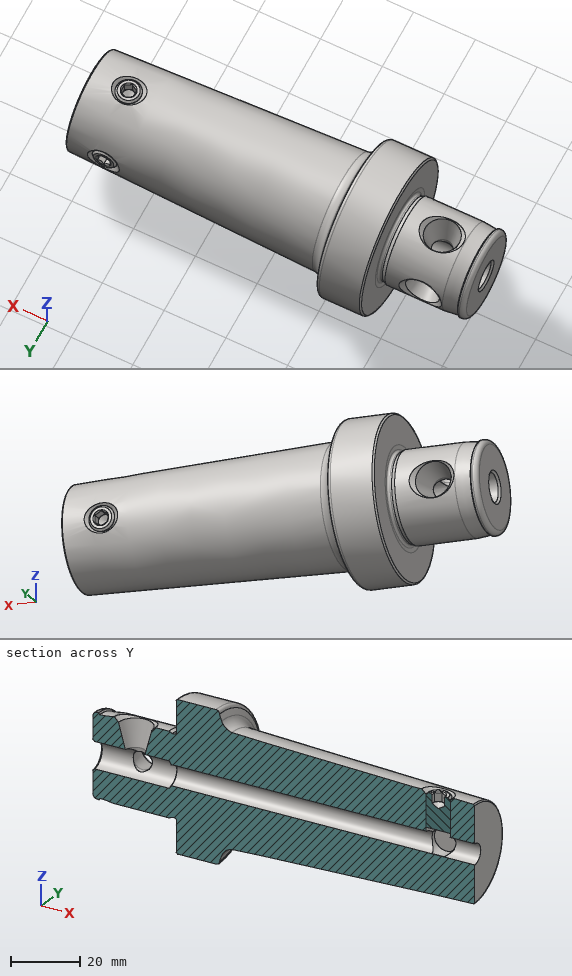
import cadquery as cq
import math

total_length = 128.0

spigot_radius = 14.1
lip_round = 1.5
lip_end = 2.0
groove_radius = 13.6
groove_start = 2.4
groove_end = 7.0
spigot_end = 25.6
neck_radius = 13.6
neck_start = 26.8
neck_fillet = 0.8

flange_face = 27.9
flange_diameter = 50.0
flange_radius = flange_diameter / 2
flange_edge_chamfer = 0.5
face_recess_radius = 15.7
face_recess_depth = 0.1
flange_round_start = 41.3
flange_round_end = 42.5
flange_round_end_radius = 23.8
flange_back_end = 43.3
flange_back_end_radius = 21.8

shank_start = 46.7
shank_start_radius = 19.0
shank_end_radius = 16.1
shank_end_chamfer = 0.4

bore_radius = 4.4
bore_mouth_radius = 5.0
bore_depth = 25.6
drill_point_angle = 118.0
through_radius = 3.3

lock_hole_x = 14.2
lock_hole_mouth_radius = 6.9
lock_hole_rim_radius = 5.5
lock_hole_rim_height = 12.7
lock_hole_floor_radius = 3.2

screw_x = 115.7
screw_radius = 4.0
screw_top = 16.1
screw_tip = 4.6
screw_chamfer = 0.6
screw_sink_mouth_radius = 5.2
socket_flats = 4.0
socket_depth = 3.2
socket_mouth_radius = 2.4

side_angles = (0.0, -90.0)


def turned(points):
    """Solid turned about X from an (x, radius) outline that starts and ends on the axis."""
    return cq.Workplane("XY").polyline(points).close().revolve(360, (0, 0, 0), (1, 0, 0))


def radial_turned(x, points):
    """Solid turned about the vertical line at x from a (radius, height) outline."""
    solid = cq.Workplane("XZ").polyline(points).close().revolve(360, (0, 0, 0), (0, 1, 0))
    return solid.translate((x, 0, 0))


def to_side(solid, angle):
    """Turn a solid about the main axis, from the +Z side to another side."""
    return solid.rotate((0, 0, 0), (1, 0, 0), angle)


def shank_radius_at(x):
    taper = (shank_end_radius - shank_start_radius) / (total_length - shank_start)
    return shank_start_radius + taper * (x - shank_start)


def holder_blank():
    recess_floor = flange_face + face_recess_depth
    outline = (
        cq.Workplane("XY")
        .moveTo(0, 0)
        .lineTo(0, spigot_radius - lip_round)
        .radiusArc((lip_round, spigot_radius), lip_round)
        .lineTo(lip_end, spigot_radius)
        .lineTo(groove_start, groove_radius)
        .lineTo(groove_end, spigot_radius)
        .lineTo(spigot_end, spigot_radius)
        .lineTo(neck_start, neck_radius)
        .lineTo(recess_floor - neck_fillet, neck_radius)
        .radiusArc((recess_floor, neck_radius + neck_fillet), -neck_fillet)
        .lineTo(flange_face, face_recess_radius)
        .lineTo(flange_face, flange_radius - flange_edge_chamfer)
        .lineTo(flange_face + flange_edge_chamfer, flange_radius)
        .lineTo(flange_round_start, flange_radius)
        .tangentArcPoint((flange_round_end, flange_round_end_radius), relative=False)
        .lineTo(flange_back_end, flange_back_end_radius)
        .tangentArcPoint((shank_start, shank_start_radius), relative=False)
        .lineTo(total_length - shank_end_chamfer, shank_radius_at(total_length - shank_end_chamfer))
        .lineTo(total_length, shank_end_radius - shank_end_chamfer)
        .lineTo(total_length, 0)
        .close()
    )
    return outline.revolve(360, (0, 0, 0), (1, 0, 0)).rotate((0, 0, 0), (1, 0, 0), 180)


def bore():
    mouth_depth = bore_mouth_radius - bore_radius
    step_length = (bore_radius - through_radius) / math.tan(math.radians(drill_point_angle / 2))
    return turned(
        [
            (0, 0),
            (0, bore_mouth_radius),
            (mouth_depth, bore_radius),
            (bore_depth, bore_radius),
            (bore_depth + step_length, through_radius),
            (total_length, through_radius),
            (total_length, 0),
        ]
    )


def lock_hole():
    """Steep cone down to the bore, opened by a wider cone at the spigot surface."""
    return radial_turned(
        lock_hole_x,
        [
            (0, 0),
            (lock_hole_floor_radius, 0),
            (lock_hole_floor_radius, bore_radius),
            (lock_hole_rim_radius, lock_hole_rim_height),
            (lock_hole_mouth_radius, spigot_radius),
            (0, spigot_radius),
        ],
    )


def screw_hole():
    """Straight hole down to the bore axis, with a 45 degree countersink at the shank surface."""
    surface = shank_radius_at(screw_x)
    sink_depth = screw_sink_mouth_radius - screw_radius
    clear_height = 1.3
    return radial_turned(
        screw_x,
        [
            (0, 0),
            (screw_radius, 0),
            (screw_radius, surface - sink_depth),
            (screw_sink_mouth_radius + clear_height, surface + clear_height),
            (0, surface + clear_height),
        ],
    )


def set_screw():
    body = radial_turned(
        screw_x,
        [
            (0, screw_tip),
            (screw_radius, screw_tip),
            (screw_radius, screw_top - screw_chamfer),
            (screw_radius - screw_chamfer, screw_top),
            (0, screw_top),
        ],
    )
    corner_radius = socket_flats / math.sqrt(3)
    socket_floor = screw_top - socket_depth
    socket = (
        cq.Workplane("XY", origin=(screw_x, 0, socket_floor))
        .polygon(6, 2 * corner_radius)
        .extrude(socket_depth)
        .rotate((screw_x, 0, 0), (screw_x, 0, 1), 90)
    )
    socket_mouth = radial_turned(
        screw_x,
        [(0, screw_top - socket_mouth_radius), (socket_mouth_radius, screw_top), (0, screw_top)],
    )
    point_depth = socket_flats / 2 / math.tan(math.radians(drill_point_angle / 2))
    drill_point = radial_turned(
        screw_x,
        [(0, socket_floor - point_depth), (socket_flats / 2, socket_floor), (0, socket_floor)],
    )
    return body.cut(socket).cut(socket_mouth).cut(drill_point)


holder = holder_blank().cut(bore())
for angle in side_angles:
    holder = holder.cut(to_side(lock_hole(), angle))
    holder = holder.cut(to_side(screw_hole(), angle))

screws = [to_side(set_screw(), angle) for angle in side_angles]

result = cq.Compound.makeCompound([holder.val(), *[screw.val() for screw in screws]])